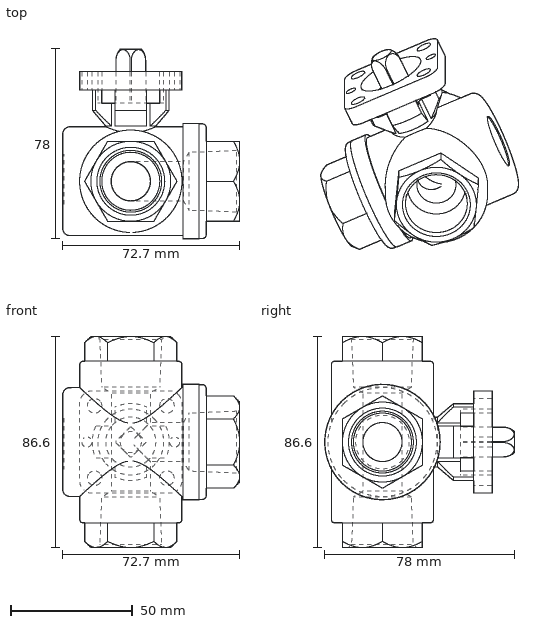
import cadquery as cq
import math


overall_length_x = 72.7
body_dia = 44.8
body_end_x = -28.0
body_fillet = 3.0
badge_dia = 22.0
badge_depth = 0.5

collar_dia = 47.5
collar_start_x = 21.4
cap_dia = 47.2
cap_start_x = 28.0
cap_end_x = 31.0
cap_fillet = 1.7

branch_dia = 42.0
branch_half_length = 33.2
branch_fillet = 1.4

hex_flats = 32.8
hex_corners = hex_flats / math.cos(math.pi / 6)
hex_chamfer = (hex_corners - hex_flats) / 2
branch_port_end = 43.3
body_port_end = body_end_x + overall_length_x

passage_dia = 16.0
mouth_dia = 27.9
thread_dia = 25.4
thread_root_dia = 23.8
mouth_depth = (mouth_dia - thread_dia) / 2
thread_end_depth = 20.8
seat_half_angle = math.radians(59)
seat_depth = (thread_root_dia - passage_dia) / 2 / math.tan(seat_half_angle)
seat_end_depth = thread_end_depth + seat_depth

plate_side = 42.0
plate_near_y = 37.4
plate_far_y = 45.1
plate_corner_radius = 5.2
opening_dia = 27.0
corner_hole_dia = 6.0
corner_hole_circle = 42.0
side_hole_dia = 4.2
side_hole_spacing = 36.0

neck_dia = 20.5
neck_end_y = 32.0
leg_width = 13.1
leg_outer_dia = 31.6
leg_cone_start_y = 22.6
leg_cone_end_y = 29.1

stem_dia = 12.3
stem_square = 9.0
stem_tip_dia = 8.7
stem_end_y = 54.2
stem_round_length = 4.8


def along_x(diameter, start, end):
    return cq.Workplane("YZ").workplane(offset=start).circle(diameter / 2).extrude(end - start)


def along_y(diameter, start, end):
    return cq.Workplane("XZ").workplane(offset=-start).circle(diameter / 2).extrude(start - end)


def body_port(shape):
    """Place a shape modelled along +Z on the +X axis."""
    return shape.rotate((0, 0, 0), (0, 1, 0), 90)


def lower_port(shape):
    """Place a shape modelled along +Z on the -Z axis."""
    return shape.mirror("XY")


def hex_end(end):
    """Hexagon from the origin to the given height, with its outer corners turned to a 45 degree cone."""
    hexagon = cq.Workplane("XY").polygon(6, hex_corners).extrude(end)
    turned_blank = cq.Workplane("XY").circle(hex_corners / 2).extrude(end).faces(">Z").chamfer(hex_chamfer)
    return hexagon.intersect(turned_blank)


def port_bore(end):
    """Chamfered mouth, tapered thread, conical seat and passage down to the origin."""
    return (
        cq.Workplane("XZ")
        .moveTo(0, 0)
        .lineTo(passage_dia / 2, 0)
        .lineTo(passage_dia / 2, end - seat_end_depth)
        .lineTo(thread_root_dia / 2, end - thread_end_depth)
        .lineTo(thread_dia / 2, end - mouth_depth)
        .lineTo(mouth_dia / 2, end)
        .lineTo(0, end)
        .close()
        .revolve(360, (0, 0, 0), (0, 1, 0))
    )


def main_body():
    barrel = along_x(body_dia, body_end_x, cap_start_x).faces("<X").edges().fillet(body_fillet)
    badge = along_x(badge_dia, body_end_x, body_end_x + badge_depth)
    collar = along_x(collar_dia, collar_start_x, cap_start_x)
    cap = along_x(cap_dia, cap_start_x, cap_end_x).faces(">X").edges().fillet(cap_fillet)
    return barrel.cut(badge).union(collar).union(cap)


def branch():
    cylinder = cq.Workplane("XY").circle(branch_dia / 2).extrude(branch_half_length, both=True)
    return cylinder.faces("|Z").edges().fillet(branch_fillet)


def plate():
    thickness = plate_far_y - plate_near_y
    blank = (
        cq.Workplane("XZ", origin=(0, plate_far_y, 0))
        .rect(plate_side, plate_side)
        .extrude(thickness)
        .edges("|Y")
        .fillet(plate_corner_radius)
    )
    corner_holes = (
        cq.Workplane("XZ", origin=(0, plate_far_y, 0))
        .polarArray(corner_hole_circle / 2, 45, 360, 4)
        .circle(corner_hole_dia / 2)
        .extrude(thickness)
    )
    side_holes = (
        cq.Workplane("XZ", origin=(0, plate_far_y, 0))
        .pushPoints([(-side_hole_spacing / 2, 0), (side_hole_spacing / 2, 0)])
        .circle(side_hole_dia / 2)
        .extrude(thickness)
    )
    stem_opening = along_y(opening_dia, plate_near_y, plate_far_y)
    return blank.cut(corner_holes).cut(side_holes).cut(stem_opening)


def legs():
    """Ring that flares out of the neck, reduced to four legs by a cross shape."""
    ring = (
        cq.Workplane("XY")
        .moveTo(0, leg_cone_start_y)
        .lineTo(neck_dia / 2, leg_cone_start_y)
        .lineTo(leg_outer_dia / 2, leg_cone_end_y)
        .lineTo(leg_outer_dia / 2, plate_near_y)
        .lineTo(opening_dia / 2, plate_near_y)
        .lineTo(opening_dia / 2, neck_end_y)
        .lineTo(0, neck_end_y)
        .close()
        .revolve(360, (0, 0, 0), (0, 1, 0))
    )
    cross = (
        cq.Workplane("XZ")
        .rect(leg_outer_dia, leg_width)
        .extrude(-plate_near_y)
        .union(cq.Workplane("XZ").rect(leg_width, leg_outer_dia).extrude(-plate_near_y))
    )
    return ring.intersect(cross)


def stem():
    """Square stem standing on the neck, its corners turned off and its tip rounded."""
    tip_radius = stem_tip_dia / 2
    radius = stem_dia / 2
    drop = radius - tip_radius
    arc_radius = (drop**2 + stem_round_length**2) / (2 * drop)
    half_angle = math.asin(stem_round_length / arc_radius) / 2
    arc_start_y = stem_end_y - stem_round_length
    arc_middle = (
        radius - arc_radius * (1 - math.cos(half_angle)),
        arc_start_y + arc_radius * math.sin(half_angle),
    )
    turned = (
        cq.Workplane("XY")
        .moveTo(0, neck_end_y)
        .lineTo(radius, neck_end_y)
        .lineTo(radius, arc_start_y)
        .threePointArc(arc_middle, (tip_radius, stem_end_y))
        .lineTo(0, stem_end_y)
        .close()
        .revolve(360, (0, 0, 0), (0, 1, 0))
    )
    square = (
        cq.Workplane("XZ")
        .transformed(rotate=(0, 0, 45))
        .rect(stem_square, stem_square)
        .extrude(-stem_end_y)
    )
    return turned.intersect(square)


solid = main_body().union(branch()).union(along_y(neck_dia, 0, neck_end_y))
solid = solid.union(hex_end(branch_port_end)).union(lower_port(hex_end(branch_port_end)))
solid = solid.union(body_port(hex_end(body_port_end)))
solid = solid.union(legs()).union(plate()).union(stem())

solid = solid.cut(port_bore(branch_port_end)).cut(lower_port(port_bore(branch_port_end)))
result = solid.cut(body_port(port_bore(body_port_end)))